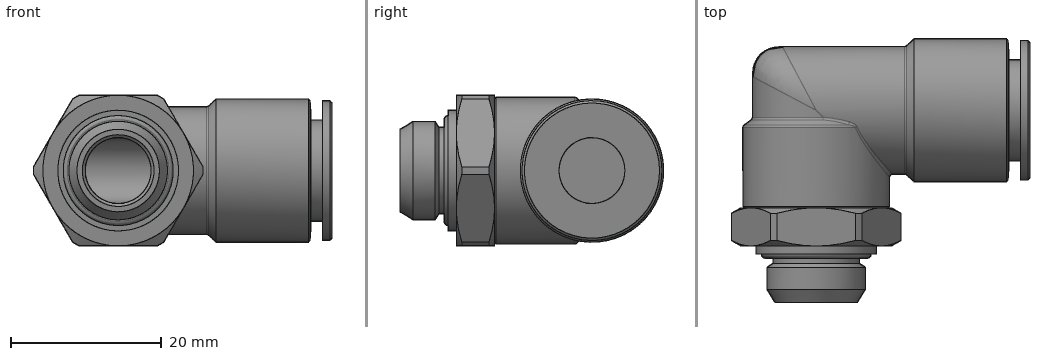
import cadquery as cq
import math


pipe_radius = 8.5
corner_ratio = 0.53
bore_radius = 4.35

collar_start = 11.9
collar_cone_end = 13.0
collar_end = 25.45
collar_radius = 9.5
collar_edge = 0.25
lip_radius = 7.77
lip_end = 25.57
groove_radius = 6.75
ring_start = 27.1
ring_end = 28.4
ring_radius = 9.28
ring_edge = 0.3

body_start = 1.15
body_cone_end = 2.05
body_radius = 9.75
body_edge = 0.2
shoulder_round = 0.48
blend_radius = 0.4

nut_start = 12.93
nut_end = 18.0
nut_flats = 20.0
nut_corner_radius = 11.25
nut_bevel_angle = 30

washer_radius = 8.0
washer_end = 19.07
seal_radius = 7.3
seal_end = 19.63
neck_radius = 5.75
neck_end = 20.3
stud_radius = 6.55
stud_start = 20.8
stud_taper_start = 23.75
stud_end = 25.5
stud_tip_radius = 5.47
stud_bore_chamfer = 0.4


def turned_along_x(profile):
    """Revolve (x, radius) points about the X axis."""
    return cq.Workplane("XY").polyline(profile).close().revolve(360, (0, 0), (1, 0))


def turned_along_stud(profile):
    """Revolve (radius, distance along -Y) points about the Y axis."""
    points = [(radius, -distance) for radius, distance in profile]
    return cq.Workplane("XY").polyline(points).close().revolve(360, (0, 0), (0, 1))


def rim_at(axis, position):
    """Select the edges centred in a thin slice across an axis."""
    half_slice = 0.02
    reach = 2 * body_radius
    low = [-reach, -reach, -reach]
    high = [reach, reach, reach]
    index = "XYZ".index(axis)
    low[index] = position - half_slice
    high[index] = position + half_slice
    return cq.selectors.BoxSelector(low, high)


def prism(points):
    """Plan-view outline extruded well past the pipe in both Z directions."""
    return cq.Workplane("XY").polyline(points).close().extrude(2 * pipe_radius, both=True)


def make_elbow():
    """Two pipes joined by an ellipsoid wedge tangent to both along the wedge faces."""
    r = pipe_radius
    reach = 2 * r
    along_x = cq.Workplane("YZ").workplane(offset=-r).circle(r).extrude(r + collar_cone_end)
    along_y = cq.Workplane("XZ").workplane(offset=-r).circle(r).extrude(r + body_cone_end)
    along_x = along_x.intersect(
        prism([(0, 0), (-corner_ratio * reach, reach), (reach, reach), (reach, -reach), (0, -reach)])
    )
    along_y = along_y.intersect(
        prism([(0, 0), (-reach, corner_ratio * reach), (-reach, -reach), (reach, -reach), (reach, 0)])
    )
    long_scale = math.sqrt(1 + corner_ratio)
    short_scale = math.sqrt(1 - corner_ratio)
    mean = (long_scale + short_scale) / 2
    skew = (short_scale - long_scale) / 2
    stretch = cq.Matrix([[mean, skew, 0, 0], [skew, mean, 0, 0], [0, 0, 1, 0]])
    wedge_angle = math.degrees(math.acos(corner_ratio))
    lune = cq.Workplane("XY").sphere(r, angle3=wedge_angle)
    lune = lune.rotate((0, 0, 0), (0, 0, 1), 135 - wedge_angle / 2)
    wedge = cq.Workplane(lune.val().transformGeometry(stretch))
    return along_x.union(along_y).union(wedge)


def make_collar():
    return turned_along_x([
        (collar_start, 0),
        (collar_start, pipe_radius),
        (collar_cone_end, collar_radius),
        (collar_end - collar_edge, collar_radius),
        (collar_end, collar_radius - collar_edge),
        (lip_end, lip_radius),
        (lip_end, groove_radius),
        (ring_start, groove_radius),
        (ring_start, ring_radius),
        (ring_end - ring_edge, ring_radius),
        (ring_end, ring_radius - ring_edge),
        (ring_end, 0),
    ])


def make_body():
    body = turned_along_stud([
        (0, body_start),
        (pipe_radius, body_start),
        (body_radius, body_cone_end),
        (body_radius, nut_start - body_edge),
        (body_radius - body_edge, nut_start),
        (0, nut_start),
    ])
    return body.edges(rim_at("Y", -body_cone_end)).fillet(shoulder_round)


def make_nut():
    """Hexagon with corners on X, trimmed round and bevelled at both ends."""
    across_corners = nut_flats / math.cos(math.radians(30))
    hexagon = cq.Workplane("XZ").workplane(offset=nut_start).polygon(6, across_corners)
    hexagon = hexagon.extrude(nut_end - nut_start)
    face_radius = nut_flats / 2
    bevel = (nut_corner_radius - face_radius) * math.tan(math.radians(nut_bevel_angle))
    envelope = turned_along_stud([
        (0, nut_start),
        (face_radius, nut_start),
        (nut_corner_radius, nut_start + bevel),
        (nut_corner_radius, nut_end - bevel),
        (face_radius, nut_end),
        (0, nut_end),
    ])
    return hexagon.intersect(envelope)


def make_stud():
    seal_round = seal_end - washer_end
    seal = (
        cq.Workplane("XY")
        .moveTo(0, -washer_end)
        .lineTo(seal_radius, -washer_end)
        .radiusArc((seal_radius - seal_round, -seal_end), seal_round)
        .lineTo(0, -seal_end)
        .close()
        .revolve(360, (0, 0), (0, 1))
    )
    stud = turned_along_stud([
        (0, nut_end),
        (washer_radius, nut_end),
        (washer_radius, washer_end),
        (neck_radius, washer_end),
        (neck_radius, neck_end),
        (stud_radius, stud_start),
        (stud_radius, stud_taper_start),
        (stud_tip_radius, stud_end),
        (0, stud_end),
    ])
    return stud.union(seal)


def make_bore():
    """Flow passage: one bore along each axis, with a chamfered stud mouth."""
    branch = turned_along_x([
        (-bore_radius, 0), (-bore_radius, bore_radius), (ring_end, bore_radius), (ring_end, 0)
    ])
    stud = turned_along_stud([
        (0, 0),
        (bore_radius, 0),
        (bore_radius, stud_end - stud_bore_chamfer),
        (bore_radius + stud_bore_chamfer, stud_end),
        (0, stud_end),
    ])
    return branch.union(stud)


housing = make_elbow().union(make_body())
joint_box = cq.selectors.BoxSelector(
    (0, -body_radius, -body_radius), (collar_start, -body_start, body_radius)
)
housing = housing.edges(rim_at("Y", -body_start) + joint_box).fillet(blend_radius)

housing = housing.union(make_collar())
housing = housing.edges(rim_at("X", collar_start)).fillet(blend_radius)

result = housing.union(make_nut()).union(make_stud()).cut(make_bore())